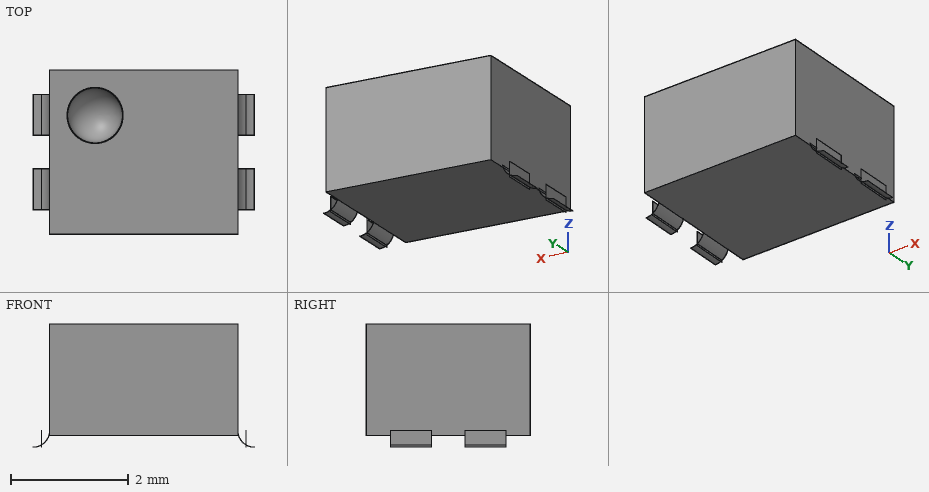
import cadquery as cq

overall_length = 3.77
overall_width = 2.8
overall_height = 2.1

housing_length = 3.212
housing_height = 1.9
housing_bottom = overall_height - housing_height

foil_thickness = 0.0008
lead_radius = 0.283
lead_width = 0.7
lead_pitch = 1.265
upright_x = (overall_length - lead_radius) / 2

mark_radius = 0.48
liner_thickness = 0.01
mark_edge_distance = 0.775
mark_x = -housing_length / 2 + mark_edge_distance
mark_y = overall_width / 2 - mark_edge_distance


def make_block():
    """Plain housing block, raised above the feet of the leads."""
    return (
        cq.Workplane("XY", origin=(0, 0, housing_bottom))
        .box(housing_length, overall_width, housing_height, centered=(True, True, False))
    )


def make_mark_ball(radius):
    """Ball whose lower half dips into the top face."""
    return cq.Workplane("XY", origin=(mark_x, mark_y, overall_height)).sphere(radius)


def make_lead(y_center):
    """Lead on the +X side; its curved foil starts inside the housing wall."""
    foot_x = overall_length / 2
    inner_radius = lead_radius - foil_thickness
    ring = (
        cq.Workplane("XZ", origin=(foot_x, y_center, lead_radius))
        .circle(lead_radius)
        .circle(inner_radius)
        .extrude(lead_width / 2, both=True)
    )
    quarter = (
        cq.Workplane("XY", origin=(foot_x - lead_radius / 2, y_center, lead_radius / 2))
        .box(lead_radius, lead_width, lead_radius)
    )
    upright = (
        cq.Workplane("XY", origin=(upright_x, y_center, lead_radius / 2))
        .box(foil_thickness, lead_width, lead_radius)
    )
    return ring.intersect(quarter).union(upright)


def make_housing():
    """Block with the liner recess and the four attached leads."""
    housing = make_block().cut(make_mark_ball(mark_radius))
    for y_center in (-lead_pitch / 2, lead_pitch / 2):
        lead = make_lead(y_center)
        housing = housing.union(lead).union(lead.mirror("YZ"))
    return housing


def make_liner():
    """Thin hemispherical bowl that lines the recess, flush with the top face."""
    shell = make_mark_ball(mark_radius).cut(make_mark_ball(mark_radius - liner_thickness))
    return shell.intersect(make_block())


housing = make_housing()
liner = make_liner()

result = cq.Compound.makeCompound([housing.solids().val(), liner.solids().val()])